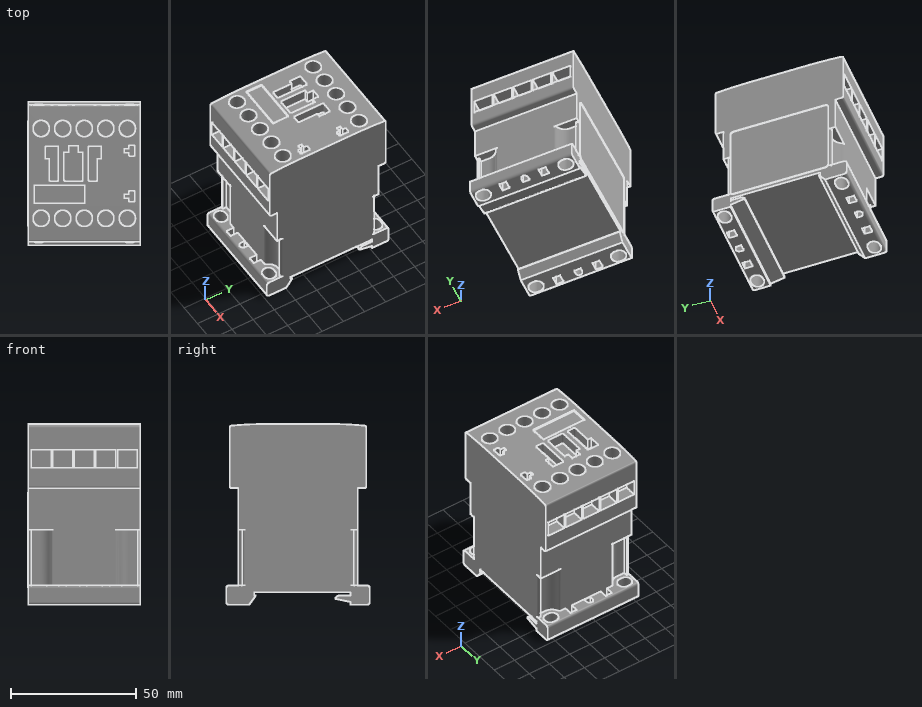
import cadquery as cq
import math

total_height = 72.4
width = 44.9
half_width = width / 2
label_thickness = 0.2

foot_depth = 57.5
foot_height = 7.8
foot_fillet = 1.15
rail_z = 5.1
clip_wall_y = 20.9
clip_gap_z = 3.85
clip_shoulder_y = 16.2
clip_tip_y = 14.9
clip_tip_top_z = 3.0
clip_tip_bottom_z = 2.4
clip_root_z = 1.15
hook_wall_y = -17.45
hook_lip_z = 4.0
hook_tip_y = -16.8
hook_tip_z = 3.8
hook_base_y = -19.55

body_depth = 47.9
body_front_y = -body_depth / 2
head_depth = 54.7
head_bottom_z = 46.7
head_fillet = 0.9
flat_top_depth = 25.9
top_edge_z = 71.7

mount_x = 17.7
mount_y = 25.05
mount_diameter = 5.2
mount_stretch = 1.0
recess_top_z = 30.1
recess_radius = 4.55
recess_floor_y = mount_y - recess_radius
recess_end_x = 12.5
lip_thickness = 1.15
lip_radius = 0.95
lip_end_y = 22.2

notch_x = 8.7
notch_width = 3.1
notch_reach = 3.3
center_slot_x = -0.35
center_slot_width = 2.9
center_slot_reach = 3.2
center_slot_gap = 0.3

terminal_count = 5
terminal_pitch = 8.6
screw_hole_diameter = 6.5
screw_hole_y = 17.95
window_width = 7.9
window_bottom_z = 54.8
window_height = 7.2
window_depth = 5.1

pocket_depth = 5.2
pocket_fillet = 0.5
pocket_back_fillet = 0.3
pocket_center_x = -4.35
pocket_front_y = -3.1
center_half_width = 3.8
center_head_half_width = 1.95
center_shoulder_y = 8.4
center_back_y = 11.15
side_inner_offset = 6.0
side_stem_offset = 9.6
side_outer_offset = 11.2
side_shoulder_y = 5.8
side_back_y = 10.85
catch_y = 9.1
catch_stem_x = 16.0
catch_head_x = 17.8
catch_end_x = 20.2
catch_stem_width = 1.5
catch_head_width = 4.4
nameplate_x = -9.85
nameplate_y = -8.25
nameplate_width = 20.3
nameplate_height = 7.2
nameplate_depth = 0.6

label_depth = 41.85
label_bottom_z = 7.2
label_height = 37.8
label_corner = 1.45

terminal_xs = [(i - (terminal_count - 1) / 2) * terminal_pitch for i in range(terminal_count)]
cut_height = 2 * foot_height
cutter_margin = 0.7


def prism_along_x(profile):
    """Extrude a closed YZ profile over the full width."""
    return profile.extrude(half_width, both=True)


def box_between(x_center, x_size, y_start, y_end, z_start, z_end):
    y_center = (y_start + y_end) / 2
    box = cq.Workplane("XY").box(x_size, abs(y_end - y_start), z_end - z_start, centered=(True, True, False))
    return box.translate((x_center, y_center, z_start))


def mirrored_in_depth(shape):
    return shape.union(shape.mirror("XZ"))


def four_corners(shape):
    front_pair = shape.union(shape.mirror("YZ"))
    return mirrored_in_depth(front_pair)


def make_foot():
    half_depth = foot_depth / 2
    outline = [
        (-half_depth, 0),
        (hook_base_y, 0),
        (hook_tip_y, hook_tip_z),
        (hook_wall_y, hook_lip_z),
        (hook_wall_y, rail_z),
        (clip_wall_y, rail_z),
        (clip_wall_y, clip_gap_z),
        (clip_shoulder_y, clip_gap_z),
        (clip_tip_y, clip_tip_top_z),
        (clip_tip_y, clip_tip_bottom_z),
        (clip_wall_y, clip_root_z),
        (clip_wall_y, 0),
        (half_depth, 0),
        (half_depth, foot_height),
        (-half_depth, foot_height),
    ]
    foot = prism_along_x(cq.Workplane("YZ").polyline(outline).close())
    return foot.edges("|X").edges("<Y or >Y").fillet(foot_fillet)


def make_foot_cutouts():
    """Mounting holes, notches and a round-ended slot, the same at front and back."""
    mount_hole = (
        cq.Workplane("XY")
        .center(-mount_x - mount_stretch / 2, -mount_y)
        .slot2D(mount_diameter + mount_stretch, mount_diameter)
        .extrude(cut_height)
    )
    notch = box_between(-notch_x, notch_width, body_front_y - notch_reach, body_front_y, 0, cut_height)
    slot_back_y = body_front_y - center_slot_gap
    slot_radius = center_slot_width / 2
    slot_arc_y = body_front_y - center_slot_reach + slot_radius
    slot_end = cq.Workplane("XY").center(center_slot_x, slot_arc_y).circle(slot_radius).extrude(cut_height)
    slot_sides = box_between(center_slot_x, center_slot_width, slot_arc_y, slot_back_y, 0, cut_height)
    center_slot = slot_sides.union(slot_end)
    return four_corners(mount_hole.union(notch)).union(mirrored_in_depth(center_slot))


def make_body():
    return box_between(0, width, body_front_y, -body_front_y, foot_height, head_bottom_z)


def make_corner_recess():
    """Recess above the front -X mounting hole: an S-shaped wall inside, a rounded lip at the side."""
    side_x = -half_width
    outside_x = side_x - cutter_margin
    outside_y = body_front_y - cutter_margin
    lip_start_y = lip_end_y - lip_radius
    wall_run = mount_x - recess_end_x
    wall_rise = -recess_floor_y - body_front_y
    wall_turn = 2 * math.atan(wall_rise / wall_run)
    bend_x = -mount_x + recess_radius * math.sin(wall_turn)
    bend_y = -mount_y + recess_radius * math.cos(wall_turn)
    return (
        cq.Workplane("XY", origin=(0, 0, foot_height))
        .moveTo(side_x, -lip_start_y)
        .radiusArc((side_x + lip_radius, -lip_end_y), -lip_radius)
        .lineTo(side_x + lip_thickness, -lip_end_y)
        .lineTo(side_x + lip_thickness, -recess_floor_y)
        .lineTo(-mount_x, -recess_floor_y)
        .tangentArcPoint((bend_x, bend_y), relative=False)
        .tangentArcPoint((-recess_end_x, body_front_y), relative=False)
        .lineTo(-recess_end_x, outside_y)
        .lineTo(outside_x, outside_y)
        .lineTo(outside_x, -lip_start_y)
        .close()
        .extrude(recess_top_z - foot_height)
    )


def make_head():
    """Head with a flat top strip that curves gently down to the front and the back."""
    half_depth = head_depth / 2
    profile = (
        cq.Workplane("YZ")
        .moveTo(0, total_height)
        .lineTo(flat_top_depth / 2, total_height)
        .tangentArcPoint((half_depth, top_edge_z), relative=False)
        .lineTo(half_depth, head_bottom_z)
        .lineTo(0, head_bottom_z)
        .mirrorY()
    )
    return prism_along_x(profile).edges("|X").edges("<Y or >Y").fillet(head_fillet)


def make_terminals():
    """Wire windows and screw holes of the front and back terminal rows."""
    front_y = -head_depth / 2
    window_top_z = window_bottom_z + window_height
    row = (
        cq.Workplane("XY", origin=(0, 0, window_bottom_z))
        .pushPoints([(x, -screw_hole_y) for x in terminal_xs])
        .circle(screw_hole_diameter / 2)
        .extrude(total_height - window_bottom_z)
    )
    for x in terminal_xs:
        row = row.union(
            box_between(x, window_width, front_y, front_y + window_depth, window_bottom_z, window_top_z)
        )
    return mirrored_in_depth(row)


def top_pocket(outline, rounded_edges):
    """Pocket cut down from the flat top, with the chosen upright edges rounded."""
    pocket = cq.Workplane("XY", origin=(0, 0, total_height)).polyline(outline).close().extrude(-pocket_depth)
    return pocket.edges("|Z").edges(rounded_edges).fillet(pocket_fillet)


def make_center_pocket():
    outline = [
        (pocket_center_x - center_half_width, pocket_front_y),
        (pocket_center_x + center_half_width, pocket_front_y),
        (pocket_center_x + center_half_width, center_shoulder_y),
        (pocket_center_x + center_head_half_width, center_shoulder_y),
        (pocket_center_x + center_head_half_width, center_back_y),
        (pocket_center_x - center_head_half_width, center_back_y),
        (pocket_center_x - center_head_half_width, center_shoulder_y),
        (pocket_center_x - center_half_width, center_shoulder_y),
    ]
    return top_pocket(outline, "<Y")


def make_side_pocket(side):
    """Hook-shaped pocket beside the center pocket; side is -1 or 1."""
    inner_x = pocket_center_x + side * side_inner_offset
    stem_x = pocket_center_x + side * side_stem_offset
    outer_x = pocket_center_x + side * side_outer_offset
    outline = [
        (inner_x, pocket_front_y),
        (stem_x, pocket_front_y),
        (stem_x, side_shoulder_y),
        (outer_x, side_shoulder_y),
        (outer_x, side_back_y),
        (inner_x, side_back_y),
    ]
    return top_pocket(outline, "<Y").edges("|Z").edges(">Y").fillet(pocket_back_fillet)


def make_catch_pocket(y_center):
    """T-shaped pocket with its stem toward -X."""
    stem = catch_stem_width / 2
    head = catch_head_width / 2
    outline = [
        (catch_stem_x, y_center - stem),
        (catch_head_x, y_center - stem),
        (catch_head_x, y_center - head),
        (catch_end_x, y_center - head),
        (catch_end_x, y_center + head),
        (catch_head_x, y_center + head),
        (catch_head_x, y_center + stem),
        (catch_stem_x, y_center + stem),
    ]
    return top_pocket(outline, "<Y or >Y")


def make_nameplate_recess():
    recess = cq.Workplane("XY", origin=(nameplate_x, nameplate_y, total_height))
    return recess.rect(nameplate_width, nameplate_height).extrude(-nameplate_depth)


def make_label():
    label = cq.Workplane("YZ", origin=(-half_width, 0, label_bottom_z + label_height / 2))
    return label.rect(label_depth, label_height).extrude(-label_thickness).edges("|X").fillet(label_corner)


foot = make_foot().cut(make_foot_cutouts())
body = make_body().cut(four_corners(make_corner_recess()))

head = make_head().cut(make_terminals())
head = head.cut(make_center_pocket())
head = head.cut(make_nameplate_recess())
for side in (-1, 1):
    head = head.cut(make_side_pocket(side))
    head = head.cut(make_catch_pocket(side * catch_y))

result = body.union(foot).union(head).union(make_label())